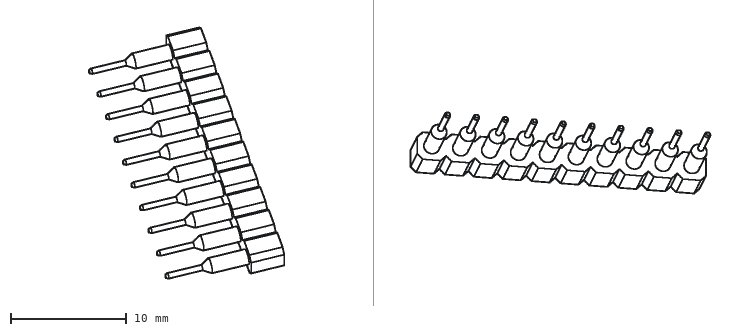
import cadquery as cq

pin_count = 10
row_length = 25.4
pitch = row_length / pin_count
housing_height = 2.55
housing_depth = 3.0
corner_chamfer = 0.48

overall_depth = 10.3
barrel_diameter = 1.37
barrel_length = 3.3
cone_length = 0.74
tail_diameter = 0.5
tip_diameter = 0.3
tip_length = 0.23

back_y = overall_depth / 2
housing_front_y = back_y - housing_depth
cone_start_y = housing_front_y - barrel_length
cone_end_y = cone_start_y - cone_length
tip_end_y = -overall_depth / 2
tip_start_y = tip_end_y + tip_length


def make_cell(center_x):
    """Block one pitch wide with its four long edges chamfered."""
    return (
        cq.Workplane("XY")
        .box(pitch, housing_depth, housing_height)
        .edges("|Y")
        .chamfer(corner_chamfer)
        .translate((center_x, back_y - housing_depth / 2, 0))
    )


def make_pin(center_x):
    """Barrel, cone, thin tail and bevelled tip turned about Y, rooted at mid-housing."""
    root_y = back_y - housing_depth / 2
    half_profile = [
        (0, root_y),
        (barrel_diameter / 2, root_y),
        (barrel_diameter / 2, cone_start_y),
        (tail_diameter / 2, cone_end_y),
        (tail_diameter / 2, tip_start_y),
        (tip_diameter / 2, tip_end_y),
        (0, tip_end_y),
    ]
    return (
        cq.Workplane("XY")
        .polyline(half_profile)
        .close()
        .revolve(360, (0, 0, 0), (0, 1, 0))
        .translate((center_x, 0, 0))
    )


result = cq.Workplane("XY")
for index in range(pin_count):
    pin_x = (index + 0.5) * pitch - row_length / 2
    result = result.union(make_cell(pin_x)).union(make_pin(pin_x))
result = result.clean()